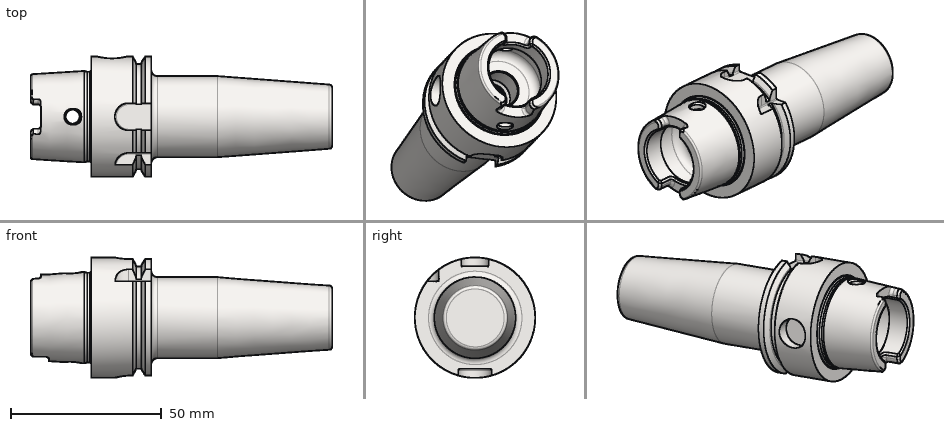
import cadquery as cq
import math


total_length = 99.9
flange_start = 20.0
flange_end = 40.0

taper_end = 17.8
taper_tip_radius = 14.1
taper_large_radius = 15.2
tip_fillet = 0.6
neck_bevel_end = 18.4
neck_bevel_radius = 15.0
neck_start = 18.7
neck_end = 19.6
neck_radius = 14.9
relief_radius = 15.8
relief_depth = 0.2

flange_radius = 20.0
groove_start = 33.8
groove_floor_start = 35.0
groove_floor_end = 36.6
groove_end = 38.0
groove_floor_radius = 17.5
groove_step_length = 0.2
groove_step_height = 0.7

shank_radius = 13.5
shank_fillet = 2.0
nose_start = 61.7
nose_radius = 10.7
nose_fillet = 1.1

bore_radius = 10.4
bore_chamfer = 0.6
bore_lip_length = 7.5
recess_radius = 12.8
recess_cone_angle = 60.0
recess_fillet_start = 15.5
recess_fillet = 3.0
bore_floor = recess_fillet_start + recess_fillet

thread_radius = 6.0
thread_mouth_chamfer = 0.3
thread_depth = 8.0
pilot_radius = 5.0
pilot_depth = 10.0

cross_hole_x = 13.9
cross_hole_diameter = 4.6
cross_hole_mouth_diameter = 5.9

drive_half_width = 4.0
upper_drive_depth = 3.4
lower_drive_depth = 6.0
drive_wall_height = 11.0
drive_corner_radius = 2.0
drive_inner_height = 5.0
drive_floor_fillet = 1.0
drive_mouth_chamfer = 0.8

keyway_start = 27.9
keyway_floor_height = 17.0
upper_keyway_width = 9.0
lower_keyway_width = 11.0
keyway_fillet = 0.4

notch_start = 27.9
notch_floor_height = 12.0
notch_wall_offset = 12.0
notch_radius = 4.5
notch_fillet = 0.3

chip_hole_x = 27.0
chip_hole_diameter = 10.0
chip_hole_depth = 4.6

clearance = 5.0
tolerance = 0.001
mid_arc = math.sqrt(0.5)


def revolve_about_x(profile):
    return profile.close().revolve(360, (0, 0, 0), (1, 0, 0))


def make_body():
    tip_slope = (taper_large_radius - taper_tip_radius) / taper_end
    groove_step_radius = groove_floor_radius + groove_step_height
    rounding_end_radius = taper_tip_radius + tip_fillet * tip_slope
    profile = (
        cq.Workplane("XY")
        .lineTo(0, taper_tip_radius - tip_fillet)
        .threePointArc(
            (tip_fillet * (1 - mid_arc), taper_tip_radius - tip_fillet * (1 - mid_arc)),
            (tip_fillet, rounding_end_radius),
        )
        .lineTo(taper_end, taper_large_radius)
        .lineTo(neck_bevel_end, neck_bevel_radius)
        .lineTo(neck_start, neck_radius)
        .lineTo(neck_end, neck_radius)
        .lineTo(flange_start + relief_depth, (neck_radius + relief_radius) / 2)
        .lineTo(flange_start, relief_radius)
        .lineTo(flange_start, flange_radius)
        .lineTo(groove_start, flange_radius)
        .lineTo(groove_floor_start - groove_step_length, groove_step_radius)
        .lineTo(groove_floor_start, groove_floor_radius)
        .lineTo(groove_floor_end, groove_floor_radius)
        .lineTo(groove_floor_end + groove_step_length, groove_step_radius)
        .lineTo(groove_end, flange_radius)
        .lineTo(flange_end, flange_radius)
        .lineTo(flange_end, shank_radius + shank_fillet)
        .threePointArc(
            (flange_end + shank_fillet * (1 - mid_arc), shank_radius + shank_fillet * (1 - mid_arc)),
            (flange_end + shank_fillet, shank_radius),
        )
        .lineTo(nose_start, shank_radius)
        .lineTo(total_length - nose_fillet, nose_radius)
        .threePointArc(
            (total_length - nose_fillet * (1 - mid_arc), nose_radius - nose_fillet * (1 - mid_arc)),
            (total_length, nose_radius - nose_fillet),
        )
        .lineTo(total_length, 0)
    )
    return revolve_about_x(profile)


def make_bore():
    cone_length = (recess_radius - bore_radius) / math.tan(math.radians(recess_cone_angle))
    thread_end = bore_floor + thread_depth
    pilot_end = bore_floor + pilot_depth
    profile = (
        cq.Workplane("XY")
        .lineTo(0, bore_radius)
        .lineTo(bore_lip_length, bore_radius)
        .lineTo(bore_lip_length + cone_length, recess_radius)
        .lineTo(recess_fillet_start, recess_radius)
        .threePointArc(
            (
                recess_fillet_start + recess_fillet * mid_arc,
                recess_radius - recess_fillet * (1 - mid_arc),
            ),
            (bore_floor, recess_radius - recess_fillet),
        )
        .lineTo(bore_floor, thread_radius + thread_mouth_chamfer)
        .lineTo(bore_floor + thread_mouth_chamfer, thread_radius)
        .lineTo(thread_end, thread_radius)
        .lineTo(thread_end + thread_radius - pilot_radius, pilot_radius)
        .lineTo(pilot_end, pilot_radius)
        .lineTo(pilot_end, 0)
    )
    return revolve_about_x(profile)


def make_drive_slot_outline(growth):
    """Slot cross-section in YZ, with every wall moved outward by growth."""
    half_width = drive_half_width + growth
    corner_radius = drive_corner_radius - growth
    corner_y = drive_half_width + drive_corner_radius
    shoulder_height = drive_wall_height + corner_radius
    arc_y = corner_y - corner_radius * mid_arc
    arc_z = drive_wall_height + corner_radius * mid_arc
    outer = flange_radius
    return (
        cq.Workplane("YZ")
        .moveTo(-half_width, drive_inner_height)
        .lineTo(-half_width, drive_wall_height)
        .threePointArc((-arc_y, arc_z), (-corner_y, shoulder_height))
        .lineTo(-outer, shoulder_height)
        .lineTo(-outer, outer)
        .lineTo(outer, outer)
        .lineTo(outer, shoulder_height)
        .lineTo(corner_y, shoulder_height)
        .threePointArc((arc_y, arc_z), (half_width, drive_wall_height))
        .lineTo(half_width, drive_inner_height)
        .close()
    )


def make_drive_slot(depth):
    slot = make_drive_slot_outline(0).extrude(depth).faces(">X").edges().fillet(drive_floor_fillet)
    mouth = make_drive_slot_outline(drive_mouth_chamfer).extrude(drive_mouth_chamfer, taper=45)
    return slot.union(mouth)


def make_cross_hole():
    """Through hole along Z with a 45 degree chamfer where it leaves the taper."""
    mouth_chamfer = (cross_hole_mouth_diameter - cross_hole_diameter) / 2
    local_radius = taper_tip_radius + (taper_large_radius - taper_tip_radius) * cross_hole_x / taper_end
    hole = (
        cq.Workplane("XY", origin=(cross_hole_x, 0, -flange_radius))
        .circle(cross_hole_diameter / 2)
        .extrude(2 * flange_radius)
    )
    mouth_radius = cross_hole_mouth_diameter / 2
    mouth = (
        cq.Workplane("XZ", origin=(cross_hole_x, 0, 0))
        .moveTo(0, local_radius - mouth_chamfer)
        .lineTo(cross_hole_diameter / 2, local_radius - mouth_chamfer)
        .lineTo(mouth_radius, local_radius)
        .lineTo(mouth_radius, local_radius + mouth_chamfer)
        .lineTo(0, local_radius + mouth_chamfer)
        .close()
        .revolve(360, (0, 0, 0), (0, 1, 0))
    )
    return hole.union(mouth).union(mouth.mirror("XY"))


def make_keyway(width):
    """Round-ended slot with a flat floor, open toward +X and +Z."""
    radius = width / 2
    center_x = keyway_start + radius
    return (
        cq.Workplane("XY", origin=(0, 0, keyway_floor_height))
        .moveTo(center_x, radius)
        .threePointArc((keyway_start, 0), (center_x, -radius))
        .lineTo(flange_end + clearance, -radius)
        .lineTo(flange_end + clearance, radius)
        .close()
        .extrude(clearance)
        .faces("<Z")
        .edges()
        .fillet(keyway_fillet)
    )


def make_orientation_notch():
    center_x = notch_start + notch_radius
    center_y = -notch_wall_offset - notch_radius
    diagonal = notch_radius * mid_arc
    return (
        cq.Workplane("XY", origin=(0, 0, notch_floor_height))
        .moveTo(notch_start, -flange_radius)
        .lineTo(notch_start, center_y)
        .threePointArc((center_x - diagonal, center_y + diagonal), (center_x, -notch_wall_offset))
        .lineTo(flange_end + clearance, -notch_wall_offset)
        .lineTo(flange_end + clearance, -flange_radius)
        .close()
        .extrude(flange_radius - notch_floor_height)
        .faces("<Z")
        .edges()
        .fillet(notch_fillet)
    )


def make_chip_hole():
    return (
        cq.Workplane("XZ", origin=(chip_hole_x, flange_radius, 0))
        .circle(chip_hole_diameter / 2)
        .extrude(chip_hole_depth)
    )


def is_on_bore_rim(edge):
    """True for edges that lie on the bore surface nearer the taper tip than the inner end of the lip."""
    for fraction in (0, 0.5, 1):
        point = edge.positionAt(fraction)
        on_bore = math.isclose(math.hypot(point.y, point.z), bore_radius, abs_tol=tolerance)
        if not on_bore or point.x > bore_lip_length - tolerance:
            return False
    return True


def chamfer_bore_rim(body):
    """Chamfer the bore mouth all the way round, including where it dips into the drive slots."""
    rim_edges = [edge for edge in body.edges().vals() if is_on_bore_rim(edge)]
    return body.newObject(rim_edges).chamfer(bore_chamfer)


holder = make_body().cut(make_bore())
holder = holder.cut(make_drive_slot(upper_drive_depth))
holder = holder.cut(make_drive_slot(lower_drive_depth).mirror("XY"))
holder = chamfer_bore_rim(holder)
holder = holder.cut(make_keyway(upper_keyway_width))
holder = holder.cut(make_keyway(lower_keyway_width).mirror("XY"))
holder = holder.cut(make_orientation_notch())
holder = holder.cut(make_chip_hole())
result = holder.cut(make_cross_hole())